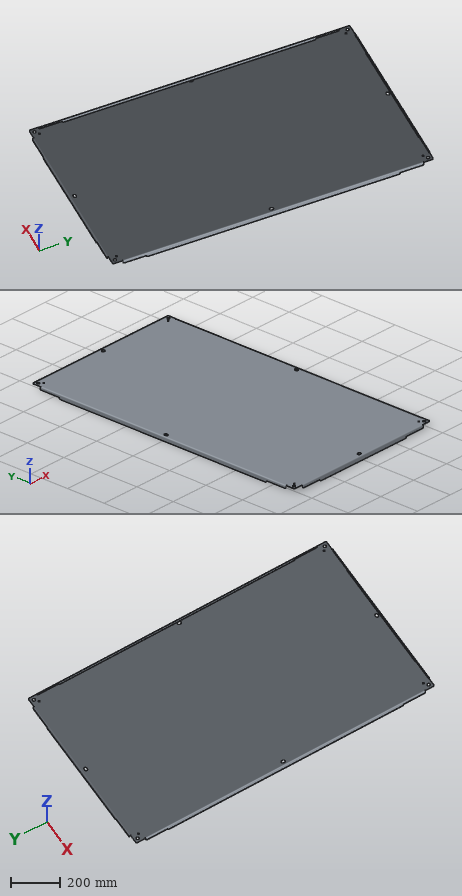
import cadquery as cq
import math

LENGTH_X = 836.0
LENGTH_Y = 1446.0
HEIGHT = 22.0

SHEET = 2.0
BEND_RADIUS = 6.2
BEND_INNER_RADIUS = BEND_RADIUS - SHEET

CORNER_SETBACK_X = 3.0
CORNER_SETBACK_Y = 5.0
CORNER_RADIUS = 6.0

SHALLOW_DEPTH = 15.0
STEP_CHAMFER = 5.0
STEP_INSET = 105.0
END_FLANGE_WIDTH = 739.0
SIDE_FLANGE_WIDTH = 1348.0

MOUNT_DIAMETER = 12.7
MOUNT_X = 398.0
MOUNT_Y = 701.0
SLOT_LENGTH = 17.0
PILOT_DIAMETER = 7.1
PILOT_X = 380.0
PILOT_Y = 687.0


def turned(body, angle):
    """Rotate a body about the vertical axis through the panel centre."""
    return body.rotate((0, 0, 0), (0, 0, 1), angle)


def corner_plate():
    """Flat sheet with rounded corners, before its edges are folded."""
    return (
        cq.Workplane("XY")
        .rect(LENGTH_X - 2 * CORNER_SETBACK_X, LENGTH_Y - 2 * CORNER_SETBACK_Y)
        .extrude(-SHEET)
        .edges("|Z")
        .fillet(CORNER_RADIUS)
    )


def bend_strip(span, width):
    """Strip of flat plate on the +X side that the fold replaces."""
    return (
        cq.Workplane("XY")
        .center((span - BEND_RADIUS) / 2, 0)
        .rect(BEND_RADIUS, width)
        .extrude(-HEIGHT)
    )


def flange_step(span, width, depth):
    """Block bounding one flange step, with chamfered lower end corners."""
    return (
        cq.Workplane("XY")
        .center(span / 2, 0)
        .rect(2 * BEND_RADIUS, width)
        .extrude(-depth)
        .edges("|X and <Z")
        .chamfer(STEP_CHAMFER)
    )


def flange(span, width):
    """Folded edge on the +X side of a plate of the given span."""
    outer = span / 2
    inner = outer - SHEET
    bend_x = outer - BEND_RADIUS
    bend_z = -BEND_RADIUS
    outer_mid = BEND_RADIUS * math.sqrt(0.5)
    inner_mid = BEND_INNER_RADIUS * math.sqrt(0.5)
    fold = (
        cq.Workplane("XZ")
        .moveTo(bend_x, 0)
        .threePointArc((bend_x + outer_mid, bend_z + outer_mid), (outer, bend_z))
        .lineTo(outer, -HEIGHT)
        .lineTo(inner, -HEIGHT)
        .lineTo(inner, bend_z)
        .threePointArc((bend_x + inner_mid, bend_z + inner_mid), (bend_x, -SHEET))
        .close()
        .extrude(width / 2, both=True)
    )
    wide_step = flange_step(span, width, SHALLOW_DEPTH)
    narrow_step = flange_step(span, width - 2 * STEP_INSET, HEIGHT)
    return fold.intersect(wide_step.union(narrow_step))


def corner_holes(x, y, diameter):
    """Cutters for one round hole in each corner."""
    return (
        cq.Workplane("XY")
        .rect(2 * x, 2 * y, forConstruction=True)
        .vertices()
        .circle(diameter / 2)
        .extrude(-HEIGHT)
    )


def edge_slots(points, angle):
    """Cutters for mounting slots at the middle of two opposite edges."""
    return (
        cq.Workplane("XY")
        .pushPoints(points)
        .slot2D(SLOT_LENGTH, MOUNT_DIAMETER, angle)
        .extrude(-HEIGHT)
    )


panel = corner_plate()
for angle, span, width in (
    (0, LENGTH_X, SIDE_FLANGE_WIDTH),
    (90, LENGTH_Y, END_FLANGE_WIDTH),
    (180, LENGTH_X, SIDE_FLANGE_WIDTH),
    (270, LENGTH_Y, END_FLANGE_WIDTH),
):
    panel = panel.cut(turned(bend_strip(span, width), angle))
    panel = panel.union(turned(flange(span, width), angle))

panel = panel.cut(corner_holes(MOUNT_X, MOUNT_Y, MOUNT_DIAMETER))
panel = panel.cut(corner_holes(PILOT_X, PILOT_Y, PILOT_DIAMETER))
panel = panel.cut(edge_slots([(0, -MOUNT_Y), (0, MOUNT_Y)], 0))
panel = panel.cut(edge_slots([(-MOUNT_X, 0), (MOUNT_X, 0)], 90))

result = panel